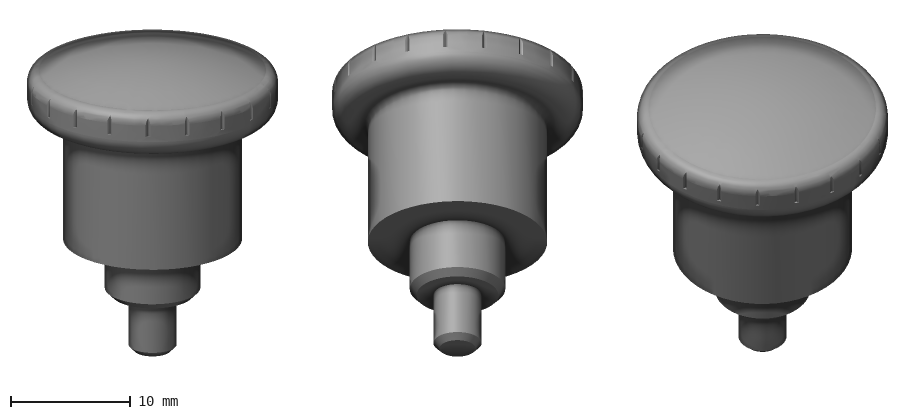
import cadquery as cq
import math

TOTAL_HEIGHT = 26.5
GUIDE_BOTTOM = 5.0
SLEEVE_BOTTOM = 10.0
KNOB_BOTTOM = 20.43

KNOB_RADIUS = 10.5
DOME_HEIGHT = 1.5
TOP_ROUND = 1.0
BOTTOM_ROUND = 1.5
FOOT_FILLET = 0.58

NOTCH_COUNT = 20
NOTCH_WIDTH = 0.4
NOTCH_DEPTH = 0.2
NOTCH_LENGTH = 1.0

SLEEVE_RADIUS = 7.5
GUIDE_RADIUS = 4.0
GUIDE_CHAMFER = 0.58
PIN_RADIUS = 2.01
PIN_CHAMFER = 0.5

DOME_EDGE = TOTAL_HEIGHT - DOME_HEIGHT
RIM_TOP = DOME_EDGE - TOP_ROUND
HEAD_BOTTOM = KNOB_BOTTOM + FOOT_FILLET
RIM_BOTTOM = HEAD_BOTTOM + BOTTOM_ROUND

QUARTER_ARC_OFFSET = 1 - math.sqrt(0.5)


def make_knob_blank():
    """Revolved knob with a spherical dome, rounded rim and flared foot."""
    dome_edge_radius = KNOB_RADIUS - TOP_ROUND
    dome_radius = (dome_edge_radius**2 + DOME_HEIGHT**2) / (2 * DOME_HEIGHT)
    dome_mid_radius = dome_edge_radius / 2
    dome_mid_height = TOTAL_HEIGHT - dome_radius + math.sqrt(dome_radius**2 - dome_mid_radius**2)
    top_gap = TOP_ROUND * QUARTER_ARC_OFFSET
    bottom_gap = BOTTOM_ROUND * QUARTER_ARC_OFFSET
    foot_gap = FOOT_FILLET * QUARTER_ARC_OFFSET
    return (
        cq.Workplane("XZ")
        .moveTo(0, KNOB_BOTTOM)
        .lineTo(SLEEVE_RADIUS, KNOB_BOTTOM)
        .threePointArc(
            (SLEEVE_RADIUS + foot_gap, HEAD_BOTTOM - foot_gap),
            (SLEEVE_RADIUS + FOOT_FILLET, HEAD_BOTTOM),
        )
        .lineTo(KNOB_RADIUS - BOTTOM_ROUND, HEAD_BOTTOM)
        .threePointArc(
            (KNOB_RADIUS - bottom_gap, HEAD_BOTTOM + bottom_gap),
            (KNOB_RADIUS, RIM_BOTTOM),
        )
        .lineTo(KNOB_RADIUS, RIM_TOP)
        .threePointArc(
            (KNOB_RADIUS - top_gap, DOME_EDGE - top_gap),
            (dome_edge_radius, DOME_EDGE),
        )
        .threePointArc((dome_mid_radius, dome_mid_height), (0, TOTAL_HEIGHT))
        .close()
        .revolve(360, (0, 0), (0, 1))
    )


def make_notch_cutter(angle):
    """Upright V prism pointing into the rim; it runs out through the top round."""
    point_radius = KNOB_RADIUS - NOTCH_DEPTH
    flank_slope = NOTCH_WIDTH / 2 / NOTCH_DEPTH
    mouth_radius = KNOB_RADIUS + NOTCH_DEPTH
    mouth_half_width = flank_slope * (mouth_radius - point_radius)
    return (
        cq.Workplane("XY", origin=(0, 0, RIM_TOP - NOTCH_LENGTH))
        .moveTo(point_radius, 0)
        .lineTo(mouth_radius, -mouth_half_width)
        .lineTo(mouth_radius, mouth_half_width)
        .close()
        .extrude(NOTCH_LENGTH + TOP_ROUND)
        .rotate((0, 0, 0), (0, 0, 1), angle)
    )


def make_knob():
    knob = make_knob_blank()
    for index in range(NOTCH_COUNT):
        knob = knob.cut(make_notch_cutter(index * 360 / NOTCH_COUNT))
    return knob


def make_plunger():
    """Stepped plunger; its flat top carries the knob."""
    return (
        cq.Workplane("XZ")
        .moveTo(0, 0)
        .lineTo(PIN_RADIUS - PIN_CHAMFER, 0)
        .lineTo(PIN_RADIUS, PIN_CHAMFER)
        .lineTo(PIN_RADIUS, GUIDE_BOTTOM)
        .lineTo(GUIDE_RADIUS - GUIDE_CHAMFER, GUIDE_BOTTOM)
        .lineTo(GUIDE_RADIUS, GUIDE_BOTTOM + GUIDE_CHAMFER)
        .lineTo(GUIDE_RADIUS, SLEEVE_BOTTOM)
        .lineTo(SLEEVE_RADIUS, SLEEVE_BOTTOM)
        .lineTo(SLEEVE_RADIUS, KNOB_BOTTOM)
        .lineTo(0, KNOB_BOTTOM)
        .close()
        .revolve(360, (0, 0), (0, 1))
    )


knob = make_knob()
plunger = make_plunger()

result = cq.Compound.makeCompound([knob.solids().val(), plunger.val()])